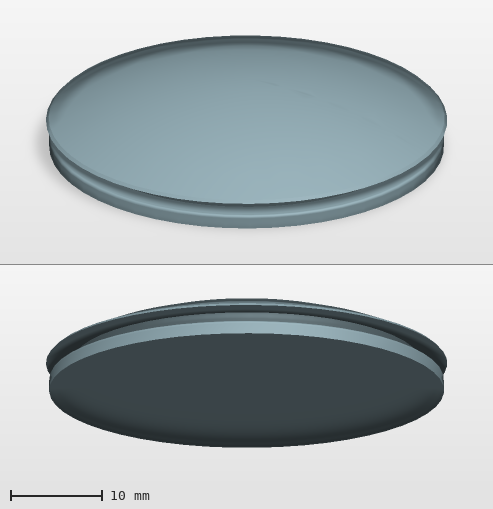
import cadquery as cq

rim_diameter = 43.7
neck_diameter = 38.2
base_diameter = 43.0

base_top = 1.5
cap_underside = 3.1
total_height = 8.2

rim_bevel = 0.3
base_fillet = 0.3


def disc(diameter, bottom, top):
    """Upright round disc centred on the Z axis."""
    return cq.Workplane("XY").workplane(offset=bottom).circle(diameter / 2).extrude(top - bottom)


def domed_cap():
    """Spherical cap with a flat underside and a bevelled rim."""
    rim_radius = rim_diameter / 2
    dome_radius = rim_radius - rim_bevel
    dome_bottom = cap_underside + rim_bevel
    dome_rise = total_height - dome_bottom
    sphere_radius = (dome_radius**2 + dome_rise**2) / (2 * dome_rise)

    middle_radius = dome_radius / 2
    sphere_center = total_height - sphere_radius
    middle_height = sphere_center + (sphere_radius**2 - middle_radius**2) ** 0.5

    return (
        cq.Workplane("XZ")
        .moveTo(0, cap_underside)
        .lineTo(rim_radius, cap_underside)
        .lineTo(dome_radius, dome_bottom)
        .threePointArc((middle_radius, middle_height), (0, total_height))
        .close()
        .revolve(360, (0, 0), (0, 1))
    )


base = disc(base_diameter, 0, base_top).faces(">Z").edges().fillet(base_fillet)

neck = disc(neck_diameter, base_top, cap_underside)

result = base.union(neck).union(domed_cap())